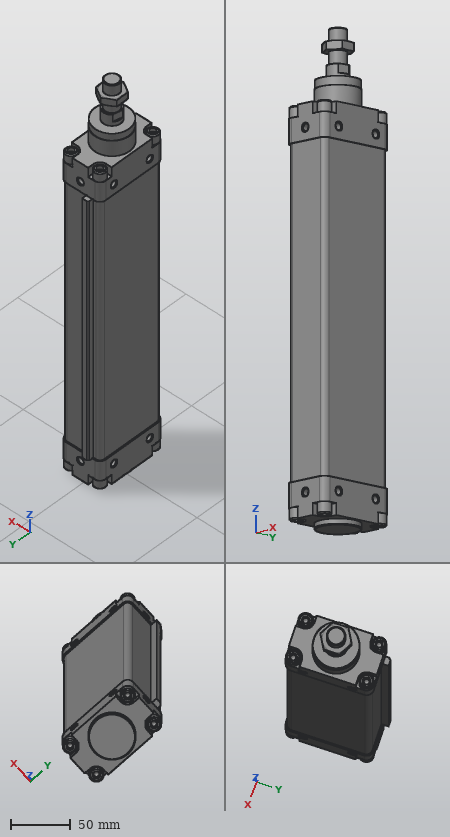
import cadquery as cq
import math

total_height = 430.5
lower_cap_bottom = 5.0
cap_height = 32.5
upper_cap_top = 361.0
collar_top = 386.0
collar_step = 378.5
shoulder = 399.0
nut_bottom = 410.5
nut_height = 7.7

lower_cap_top = lower_cap_bottom + cap_height
upper_cap_bottom = upper_cap_top - cap_height
tube_height = upper_cap_bottom - lower_cap_top

cap_width = 46.0
cap_depth = 78.0
cap_corner_radius = 6.5
tube_inset = 1.5
screw_x = cap_width / 2 - cap_corner_radius
screw_y = cap_depth / 2 - cap_corner_radius

collar_diameter = 40.0
collar_rim_diameter = 39.0
lower_rim_chamfer = 1.0

pocket_depth = 10.5
pocket_radius = 15.0 / 2
head_diameter = 12.5
head_chamfer = 1.5
socket_diameter = 6.5
socket_depth = 4.0
socket_tip_diameter = 4.7

hole_diameter = 6.5
hole_mouth_diameter = 8.0
hole_depth = 6.5
hole_from_outer_face = 21.0
side_hole_spacing = 44.0
drill_tip_angle = 118

rail_center_x = -10.5
rail_width = 7.0
rail_height = 5.0
rail_chamfer = 1.7

rod_diameter = 20.0
rod_chamfer = 0.5
thread_diameter = 16.0
thread_chamfer = 1.0
flat_distance = 17.0
flat_bottom = 391.0
flat_turn = -12

nut_across_flats = 24.0
nut_corner_diameter = nut_across_flats / math.cos(math.radians(30))
nut_bevel_height = 0.5


def cylinder(diameter, bottom, top):
    return cq.Workplane("XY").workplane(offset=bottom).circle(diameter / 2).extrude(top - bottom)


def rounded_block(width, depth, radius, bottom, height):
    block = cq.Workplane("XY").workplane(offset=bottom).rect(width, depth).extrude(height)
    return block.edges("|Z").fillet(radius)


def conical_tip(diameter):
    """Drill-point cone that hangs below the origin."""
    height = diameter / 2 / math.tan(math.radians(drill_tip_angle / 2))
    return cq.Workplane("XZ").polyline([(0, 0), (diameter / 2, 0), (0, -height)]).close().revolve()


def screw_pocket():
    """Recess below the origin, open toward -X and -Y, rounded around the screw."""
    arc_middle = pocket_radius * math.sqrt(0.5)
    return (
        cq.Workplane("XY")
        .moveTo(-pocket_radius, -pocket_radius)
        .lineTo(pocket_radius, -pocket_radius)
        .lineTo(pocket_radius, 0)
        .threePointArc((arc_middle, arc_middle), (0, pocket_radius))
        .lineTo(-pocket_radius, pocket_radius)
        .close()
        .extrude(-pocket_depth)
    )


def screw_head():
    """Socket head below the origin, standing on the pocket floor."""
    head = cylinder(head_diameter, -pocket_depth, 0).faces(">Z").chamfer(head_chamfer)
    head = head.cut(cylinder(socket_diameter, -socket_depth, 0))
    return head.cut(conical_tip(socket_tip_diameter).translate((0, 0, -socket_depth)))


def threaded_hole():
    """Flat-bottomed blind hole that runs down from the origin, with a countersunk mouth."""
    mouth_depth = (hole_mouth_diameter - hole_diameter) / 2
    return (
        cq.Workplane("XZ")
        .polyline(
            [
                (0, 0),
                (hole_mouth_diameter / 2, 0),
                (hole_diameter / 2, -mouth_depth),
                (hole_diameter / 2, -hole_depth),
                (0, -hole_depth),
            ]
        )
        .close()
        .revolve()
    )


def upper_cap():
    cap = rounded_block(cap_width, cap_depth, cap_corner_radius, upper_cap_bottom, cap_height)
    for mirror_x in (False, True):
        for mirror_y in (False, True):
            pocket = screw_pocket().translate((-screw_x, -screw_y, upper_cap_top))
            head = screw_head().translate((-screw_x, -screw_y, upper_cap_top))
            if mirror_x:
                pocket = pocket.mirror("YZ")
                head = head.mirror("YZ")
            if mirror_y:
                pocket = pocket.mirror("XZ")
                head = head.mirror("XZ")
            cap = cap.cut(pocket).union(head)

    hole_z = upper_cap_top - hole_from_outer_face
    front_hole = threaded_hole()
    front_hole = front_hole.rotate((0, 0, 0), (1, 0, 0), 90).translate((0, -cap_depth / 2, hole_z))
    cap = cap.cut(front_hole).cut(front_hole.mirror("XZ"))

    side_hole = threaded_hole()
    side_hole = side_hole.union(conical_tip(hole_diameter).translate((0, 0, -hole_depth)))
    side_hole = side_hole.rotate((0, 0, 0), (0, 1, 0), -90)
    for y in (-side_hole_spacing / 2, side_hole_spacing / 2):
        placed_hole = side_hole.translate((-cap_width / 2, y, hole_z))
        cap = cap.cut(placed_hole).cut(placed_hole.mirror("YZ"))
    return cap


def sensor_rail():
    wall = cap_depth / 2 - tube_inset
    outer = cap_depth / 2 + rail_height
    rail = (
        cq.Workplane("XY")
        .box(rail_width, outer - wall, tube_height, centered=(True, False, False))
        .translate((rail_center_x, wall, lower_cap_top))
    )
    return rail.edges("|Z and >Y and <X").chamfer(rail_chamfer)


def make_housing():
    tube = rounded_block(
        cap_width - 2 * tube_inset,
        cap_depth - 2 * tube_inset,
        cap_corner_radius - tube_inset,
        lower_cap_top,
        tube_height,
    )
    cap = upper_cap()
    cap_middle = (lower_cap_bottom + upper_cap_top) / 2
    lower_cap = cap.mirror("XY", (0, 0, cap_middle))
    housing = tube.union(cap).union(lower_cap).union(sensor_rail())

    housing = housing.union(cylinder(collar_diameter, upper_cap_top, collar_step))
    housing = housing.union(cylinder(collar_rim_diameter, collar_step, collar_top))
    lower_collar = cylinder(collar_diameter, 0, lower_cap_bottom).faces("<Z").chamfer(lower_rim_chamfer)
    housing = housing.union(lower_collar)
    return housing.cut(cylinder(rod_diameter, upper_cap_top, collar_top))


def make_rod():
    shank = cylinder(rod_diameter, upper_cap_top, shoulder).faces(">Z").chamfer(rod_chamfer)
    flat_height = shoulder - flat_bottom
    frame_side = 2 * rod_diameter
    frame_opening = 1.5 * rod_diameter
    band = cq.Workplane("XY").rect(frame_side, frame_side)
    band = band.rect(flat_distance, frame_opening).extrude(flat_height)
    band = band.rotate((0, 0, 0), (0, 0, 1), flat_turn).translate((0, 0, flat_bottom))
    thread = cylinder(thread_diameter, shoulder, total_height).faces(">Z").chamfer(thread_chamfer)
    return shank.cut(band).union(thread)


def make_nut():
    nut_top = nut_bottom + nut_height
    nut = (
        cq.Workplane("XY")
        .workplane(offset=nut_bottom)
        .transformed(rotate=(0, 0, 90))
        .polygon(6, nut_corner_diameter)
        .extrude(nut_height)
    )
    blank = cylinder(nut_corner_diameter, nut_bottom, nut_top)
    bevel = (nut_corner_diameter - nut_across_flats) / 2
    blank = blank.edges("%CIRCLE").chamfer(nut_bevel_height, bevel)
    return nut.intersect(blank).cut(cylinder(thread_diameter, nut_bottom, nut_top))


housing = make_housing()
rod = make_rod()
nut = make_nut()
result = cq.Compound.makeCompound([housing.val(), rod.val(), nut.val()])